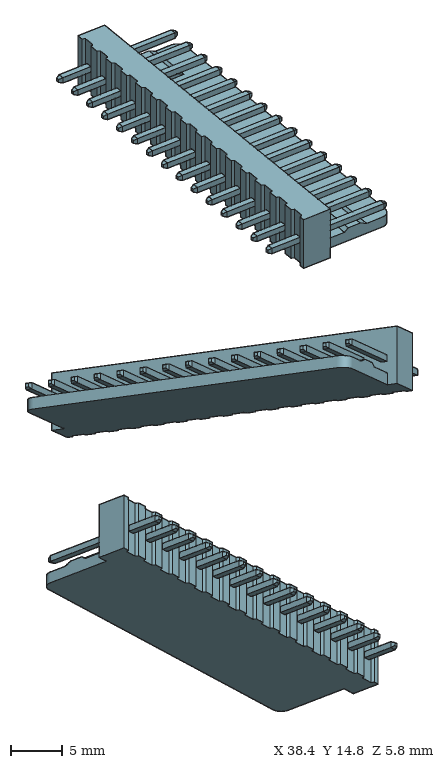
import cadquery as cq

length = 38.35
housing_depth = 3.2
housing_height = 5.8

pin_count = 15
pin_row_span = 35.55
pin_row_shift = 0.05
pitch = pin_row_span / (pin_count - 1)
pin_width = 0.65
pin_tip_width = 0.35
pin_taper = 0.4
pin_height = 2.7
pin_front_reach = 3.4
pin_back_gap = 0.7

groove_depth = 0.3
groove_floor_width = 1.23
groove_mouth_width = 1.55

plate_reach = 8.2
plate_thickness = 1.2
left_plate_inset = 1.07
right_plate_inset = 1.38
plate_corner_radius = 1.07

ridge_inner_x = 13.25
ridge_height = 0.35
ridge_start = 2.65
ridge_crest_start = 3.1
ridge_crest_end = 4.52
ridge_end = 5.3

pin_positions = [pin_row_shift + i * pitch - pin_row_span / 2 for i in range(pin_count)]
plate_end = housing_depth + plate_reach
plate_left = left_plate_inset - length / 2
plate_right = length / 2 - right_plate_inset


def make_housing():
    housing = cq.Workplane("XY").box(length, housing_depth, housing_height, centered=(True, False, False))
    for x in pin_positions:
        groove = (
            cq.Workplane("XY")
            .polyline([
                (x - groove_mouth_width / 2, 0),
                (x - groove_floor_width / 2, groove_depth),
                (x + groove_floor_width / 2, groove_depth),
                (x + groove_mouth_width / 2, 0),
            ])
            .close()
            .extrude(housing_height)
        )
        housing = housing.cut(groove)
    return housing


def make_plate():
    return (
        cq.Workplane("XY")
        .box(plate_right - plate_left, plate_reach, plate_thickness, centered=False)
        .translate((plate_left, housing_depth, 0))
        .edges("|Z and >Y")
        .fillet(plate_corner_radius)
    )


def make_ridge(x_start, x_end):
    """Trapezoidal ridge on the plate, running along X from x_start to x_end."""
    crest = plate_thickness + ridge_height
    return (
        cq.Workplane("YZ", origin=(x_start, housing_depth, 0))
        .polyline([
            (ridge_start, 0),
            (ridge_start, plate_thickness),
            (ridge_crest_start, crest),
            (ridge_crest_end, crest),
            (ridge_end, plate_thickness),
            (ridge_end, 0),
        ])
        .close()
        .extrude(x_end - x_start)
    )


def make_pin(x):
    """Square pin through the housing, tapered at both ends."""
    front = -pin_front_reach
    back = plate_end - pin_back_gap
    shank_length = back - front - 2 * pin_taper
    shank = (
        cq.Workplane("XZ", origin=(x, front + pin_taper, pin_height))
        .rect(pin_width, pin_width)
        .extrude(-shank_length)
    )
    front_tip = (
        shank.faces("<Y").workplane()
        .rect(pin_width, pin_width)
        .workplane(offset=pin_taper)
        .rect(pin_tip_width, pin_tip_width)
        .loft(combine=False)
    )
    back_tip = (
        shank.faces(">Y").workplane()
        .rect(pin_width, pin_width)
        .workplane(offset=pin_taper)
        .rect(pin_tip_width, pin_tip_width)
        .loft(combine=False)
    )
    return shank.union(front_tip).union(back_tip)


result = make_housing().union(make_plate())
result = result.union(make_ridge(plate_left, -ridge_inner_x))
result = result.union(make_ridge(ridge_inner_x, plate_right))
for pin_x in pin_positions:
    result = result.union(make_pin(pin_x))